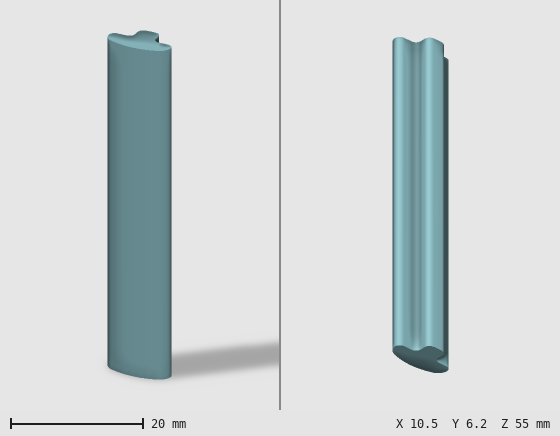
import math

import cadquery as cq

length = 55.0
width = 10.5
height = 6.2

flange_top = 3.35
crown_radius = 11.55
side_radius = 2.1
corner_radius = 1.0

stem_half_width = 1.75
dome_radius = 11.0
root_radius = 0.95


def point_beyond(start, through, distance):
    """Point at a distance from start, on the ray from start through another point."""
    scale = distance / math.dist(start, through)
    return tuple(s + scale * (t - s) for s, t in zip(start, through))


def mirrored(point):
    return (-point[0], point[1])


crown_center = (0, crown_radius)
shoulder_center = (width / 2 - corner_radius, flange_top - corner_radius)

from_crown = crown_radius - side_radius
from_shoulder = side_radius - corner_radius
span = math.dist(crown_center, shoulder_center)
along = (from_crown**2 - from_shoulder**2 + span**2) / (2 * span)
offset = math.sqrt(from_crown**2 - along**2)
dir_x = (shoulder_center[0] - crown_center[0]) / span
dir_y = (shoulder_center[1] - crown_center[1]) / span
side_center = (
    crown_center[0] + along * dir_x + offset * dir_y,
    crown_center[1] + along * dir_y - offset * dir_x,
)

crown_end = point_beyond(crown_center, side_center, crown_radius)
side_end = point_beyond(side_center, shoulder_center, side_radius)
shoulder_end = (shoulder_center[0], flange_top)

root_start = (stem_half_width + root_radius, flange_top)
root_end = (stem_half_width, flange_top + root_radius)
tip_center_x = stem_half_width - corner_radius
dome_center = (0, height - dome_radius)
tip_center_y = dome_center[1] + math.sqrt((dome_radius - corner_radius) ** 2 - tip_center_x**2)
tip_start = (stem_half_width, tip_center_y)
tip_end = point_beyond(dome_center, (tip_center_x, tip_center_y), dome_radius)

section = (
    cq.Workplane("XY")
    .moveTo(*mirrored(crown_end))
    .threePointArc((0, 0), crown_end)
    .radiusArc(side_end, -side_radius)
    .radiusArc(shoulder_end, -corner_radius)
    .lineTo(*root_start)
    .radiusArc(root_end, root_radius)
    .lineTo(*tip_start)
    .radiusArc(tip_end, -corner_radius)
    .threePointArc((0, height), mirrored(tip_end))
    .radiusArc(mirrored(tip_start), -corner_radius)
    .lineTo(*mirrored(root_end))
    .radiusArc(mirrored(root_start), root_radius)
    .lineTo(*mirrored(shoulder_end))
    .radiusArc(mirrored(side_end), -corner_radius)
    .radiusArc(mirrored(crown_end), -side_radius)
    .close()
)

result = section.extrude(length)